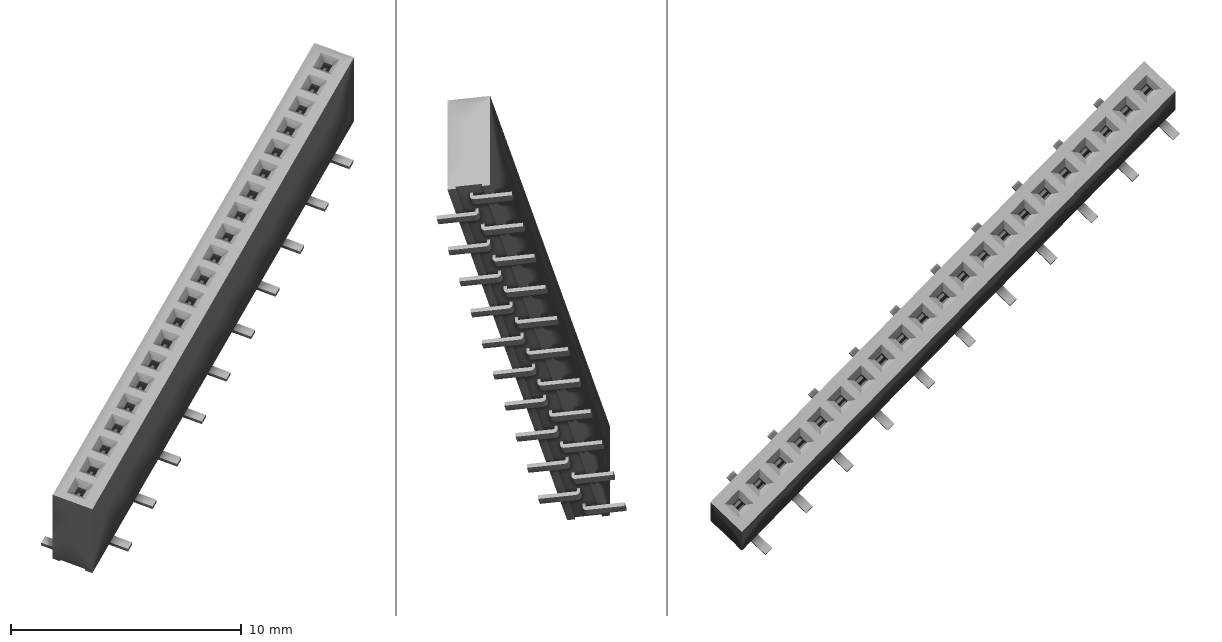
import cadquery as cq

contact_count = 21
pitch = 1.27
body_length = 27.02
body_width = 1.9
total_height = 4.85
standoff = 0.25
lead_span = 3.57

channel_width = 1.2
channel_depth = 0.1

mouth_size = 0.9
throat_size = 0.4
funnel_depth = 0.25
socket_depth = 2.97

lead_width = 0.4
lead_thickness = 0.2
stem_thickness = 0.14
bend_radius = 0.2
stem_embedding = 0.1
tine_gap = 0.14
tine_drop = 0.4

contact_ys = [pitch * (i - (contact_count - 1) / 2) for i in range(contact_count)]
throat_top = total_height - funnel_depth
socket_floor = total_height - socket_depth


def make_box(size_x, size_y, bottom, top, x=0.0, y=0.0):
    """Box centred on (x, y) that spans the heights bottom to top."""
    box = cq.Workplane("XY").box(size_x, size_y, top - bottom, centered=(True, True, False))
    return box.translate((x, y, bottom))


def make_housing():
    housing = make_box(body_width, body_length, standoff, total_height)
    return housing.cut(make_box(channel_width, body_length, standoff, standoff + channel_depth))


def make_socket_cutter():
    """Square funnel leading into a square blind hole, with its two tines left standing."""
    funnel = (
        cq.Workplane("XY", origin=(0, 0, throat_top))
        .rect(throat_size, throat_size)
        .workplane(offset=funnel_depth)
        .rect(mouth_size, mouth_size)
        .loft(ruled=True)
    )
    throat = make_box(throat_size, throat_size, throat_top - tine_drop, throat_top)
    tine_slit = make_box(tine_gap, throat_size, socket_floor, throat_top - tine_drop)
    return funnel.union(throat).union(tine_slit)


def make_contact_tail():
    """Stem that drops out of the housing and bends into a lead pointing along -X."""
    stem_x = stem_thickness / 2
    stem_top = standoff + channel_depth + stem_embedding
    profile = (
        cq.Workplane("XZ")
        .moveTo(-lead_span / 2, 0)
        .lineTo(stem_x - bend_radius, 0)
        .radiusArc((stem_x, bend_radius), -bend_radius)
        .lineTo(stem_x, stem_top)
        .lineTo(-stem_x, stem_top)
        .lineTo(-stem_x, lead_thickness)
        .lineTo(-lead_span / 2, lead_thickness)
        .close()
    )
    return profile.extrude(lead_width / 2, both=True)


socket_cutter = make_socket_cutter()
left_tail = make_contact_tail()
right_tail = left_tail.mirror("YZ")

result = make_housing()
for index, contact_y in enumerate(contact_ys):
    tail = left_tail if index % 2 == 0 else right_tail
    result = result.cut(socket_cutter.translate((0, contact_y, 0)))
    result = result.union(tail.translate((0, contact_y, 0)))